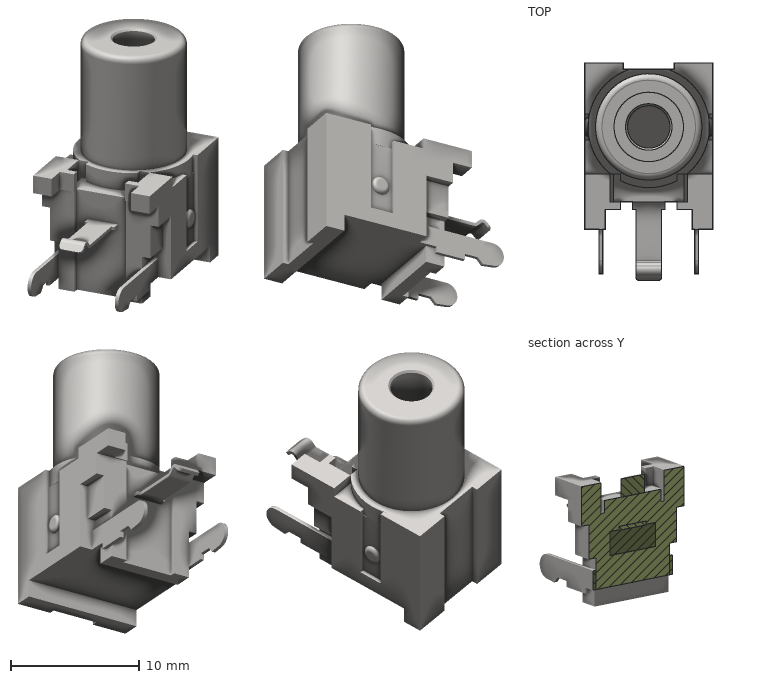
import cadquery as cq
import math


BLOCK = 10.0
HALF = BLOCK / 2
OVERALL_DEPTH = 17.01
FLOOR_Z = 1.4
SHELF_Z = 8.53
LEDGE_Z = 9.11
COLUMN_FRONT_Y = -6.32
PANEL_Y = -5.85
SHELF_Y = -3.69
CHANNEL_HALF = 2.2
REAR_NOTCH_HALF = 1.99
REAR_NOTCH_Y = 4.5
REAR_FOOT_Y = 3.4
FRONT_FOOT_Y = -4.7

ARM_FRONT_Y = -8.0
ARM_GAP_HALF = 3.4
LIP_FRONT_Y = -6.45
POCKET_HALF = 3.05
PAD_HALF = 2.77
GROOVE_DEPTH = 1.0

RECESS_Y = -3.96
UPPER_RECESS_X = 4.3
UPPER_RECESS_TOP = 6.77
COLUMN_X = 3.59
STEP_Z = 3.98

SLOT_HALF = 1.01
SLOT_FLOOR_X = 4.7
SLOT_BOTTOM_Z = 2.67
BUMP_RADIUS = 0.76
BUMP_ROUND = 0.35
BUMP_Z = 4.98

BARREL_TOP = 19.51
BARREL_RADIUS = 4.15
BARREL_ROUND = 0.5
FLANGE_RADIUS = 4.75

CORE_RADIUS = 2.71
SOCKET_RADIUS = 1.65
SOCKET_CHAMFER = 0.15

CONTACT_Z = 5.87
CONTACT_THICKNESS = 0.27
CONTACT_BASE_HALF = 1.29
CONTACT_HALF = 1.01
CONTACT_TOP = CONTACT_Z + CONTACT_THICKNESS
CROWN_Y = -11.22
BEND_RADIUS = 0.5
CROWN_TOP = 6.63
TIP_Y = HALF - OVERALL_DEPTH
TIP_ROUND = 0.35

LEG_THICKNESS = 0.31
LEG_TOP = 3.0
LEG_FRONT_Y = -11.47
LEG_END_RADIUS = 1.0
LEG_TAB_Z = 0.92
LEG_TAB_REAR_Y = -5.48
LEG_HOOK_REAR_Y = -9.15
LEG_HOOK_FRONT_Y = -9.6


def box(x0, x1, y0, y1, z0, z1):
    """Box given by its limits along each axis."""
    return cq.Workplane("XY").box(x1 - x0, y1 - y0, z1 - z0, centered=False).translate((x0, y0, z0))


def centred_box(half_x, y0, y1, z0, z1):
    """Box that is symmetric about the YZ plane."""
    return box(-half_x, half_x, y0, y1, z0, z1)


def both_sides(shape):
    """The shape together with its mirror image across the YZ plane."""
    return shape.union(shape.mirror("YZ"))


def cylinder(radius, z0, z1):
    return cq.Workplane("XY").workplane(offset=z0).circle(radius).extrude(z1 - z0)


def side_profile(points, half_width):
    """Closed YZ outline extruded symmetrically along X."""
    return cq.Workplane("YZ").polyline(points).close().extrude(half_width, both=True)


def make_flange():
    """Round flange, flat at the back, with a narrow nose at the front."""
    disc = cylinder(FLANGE_RADIUS, SHELF_Z, BLOCK)
    body = centred_box(HALF, SHELF_Y, REAR_NOTCH_Y, SHELF_Z, BLOCK)
    nose = centred_box(CHANNEL_HALF, PANEL_Y, SHELF_Y, SHELF_Z, BLOCK)
    return disc.intersect(body.union(nose))


def make_barrel():
    tube = cylinder(BARREL_RADIUS, SHELF_Z, BARREL_TOP).faces(">Z").edges().fillet(BARREL_ROUND)
    return tube.union(make_flange()).cut(cylinder(CORE_RADIUS, SHELF_Z, BARREL_TOP))


def make_insulator():
    """Core inside the barrel with a tail that reaches the front panel under the contact."""
    core = cylinder(CORE_RADIUS, STEP_Z, BARREL_TOP)
    socket = cylinder(SOCKET_RADIUS, SHELF_Z, BARREL_TOP)
    tail = centred_box(CHANNEL_HALF, PANEL_Y, 0, STEP_Z, CONTACT_Z)
    bored = core.cut(socket)
    socket_rim = bored.faces(">Z").edges(cq.selectors.RadiusNthSelector(0))
    return socket_rim.chamfer(SOCKET_CHAMFER).union(tail)


def make_contact():
    """Flat strip with a wide base, a bent crown and a rounded drooping tip."""
    base = centred_box(CONTACT_BASE_HALF, LIP_FRONT_Y, -CORE_RADIUS, CONTACT_Z, CONTACT_TOP)

    inner_radius = BEND_RADIUS - CONTACT_THICKNESS
    bend_angle = math.pi / 4
    diagonal = math.sin(bend_angle)
    outer = BEND_RADIUS * diagonal
    inner = inner_radius * diagonal
    crown_z = CROWN_TOP - BEND_RADIUS
    bend_z = CONTACT_TOP + inner_radius
    bend_y = CROWN_Y + outer + inner + (crown_z + outer) - (bend_z - inner)
    tip_z = crown_z + outer - (CROWN_Y - outer - TIP_Y)
    tip_step = CONTACT_THICKNESS * diagonal
    half_turn_y = math.sin(bend_angle / 2)
    half_turn_z = math.cos(bend_angle / 2)

    strip = (
        cq.Workplane("YZ")
        .moveTo(LIP_FRONT_Y, CONTACT_TOP)
        .lineTo(bend_y, CONTACT_TOP)
        .threePointArc(
            (bend_y - inner_radius * half_turn_y, bend_z - inner_radius * half_turn_z),
            (bend_y - inner, bend_z - inner),
        )
        .lineTo(CROWN_Y + outer, crown_z + outer)
        .threePointArc((CROWN_Y, CROWN_TOP), (CROWN_Y - outer, crown_z + outer))
        .lineTo(TIP_Y, tip_z)
        .lineTo(TIP_Y + tip_step, tip_z - tip_step)
        .lineTo(CROWN_Y - inner, crown_z + inner)
        .threePointArc((CROWN_Y, crown_z + inner_radius), (CROWN_Y + inner, crown_z + inner))
        .lineTo(bend_y - outer, bend_z - outer)
        .threePointArc(
            (bend_y - BEND_RADIUS * half_turn_y, bend_z - BEND_RADIUS * half_turn_z),
            (bend_y, CONTACT_Z),
        )
        .lineTo(LIP_FRONT_Y, CONTACT_Z)
        .close()
        .extrude(CONTACT_HALF, both=True)
    )
    strip = strip.faces("<Y").edges("not |X").fillet(TIP_ROUND)
    return base.union(strip)


def make_leg(side):
    """Ground leg lying against the outer face of one column; side is -1 or 1."""
    end_y = LEG_FRONT_Y + LEG_END_RADIUS
    end_z = LEG_TOP - LEG_END_RADIUS
    leg = (
        cq.Workplane("YZ")
        .moveTo(RECESS_Y, LEG_TOP)
        .lineTo(end_y, LEG_TOP)
        .threePointArc((LEG_FRONT_Y, end_z), (end_y, end_z - LEG_END_RADIUS))
        .lineTo(LEG_HOOK_FRONT_Y, LEG_TAB_Z)
        .lineTo(LEG_HOOK_REAR_Y, FLOOR_Z)
        .lineTo(ARM_FRONT_Y, FLOOR_Z)
        .lineTo(ARM_FRONT_Y, LEG_TAB_Z)
        .lineTo(LEG_TAB_REAR_Y, LEG_TAB_Z)
        .lineTo(LEG_TAB_REAR_Y, FLOOR_Z)
        .lineTo(RECESS_Y, FLOOR_Z)
        .close()
        .extrude(LEG_THICKNESS)
        .translate((COLUMN_X, 0, 0))
    )
    return leg if side > 0 else leg.mirror("YZ")


def housing_block():
    """Side outline of the housing: feet below, arms overhanging at the front top."""
    outline = [
        (HALF, 0),
        (HALF, BLOCK),
        (ARM_FRONT_Y, BLOCK),
        (ARM_FRONT_Y, SHELF_Z),
        (COLUMN_FRONT_Y, SHELF_Z),
        (COLUMN_FRONT_Y, 0),
        (FRONT_FOOT_Y, 0),
        (FRONT_FOOT_Y, FLOOR_Z),
        (REAR_FOOT_Y, FLOOR_Z),
        (REAR_FOOT_Y, 0),
    ]
    return side_profile(outline, HALF)


def front_openings():
    """Gap between the arms, pocket over the shelf, shelf grooves and channel between the columns."""
    arm_gap = centred_box(ARM_GAP_HALF, ARM_FRONT_Y, LIP_FRONT_Y, SHELF_Z, BLOCK)
    channel = centred_box(CHANNEL_HALF, ARM_FRONT_Y, PANEL_Y, 0, BLOCK)
    pocket = centred_box(POCKET_HALF, PANEL_Y, SHELF_Y, SHELF_Z, BLOCK)
    groove = box(PAD_HALF, POCKET_HALF, PANEL_Y, SHELF_Y, SHELF_Z - GROOVE_DEPTH, SHELF_Z)
    return arm_gap.union(channel).union(pocket).union(both_sides(groove))


def corner_recesses():
    """Two-step recess at each front corner that leaves room for the ground legs."""
    upper = box(UPPER_RECESS_X, HALF, COLUMN_FRONT_Y, RECESS_Y, STEP_Z, UPPER_RECESS_TOP)
    lower = box(COLUMN_X, HALF, COLUMN_FRONT_Y, RECESS_Y, 0, STEP_Z)
    return both_sides(upper.union(lower))


def side_slots():
    """Vertical slot in each side, open to the flange above, and the lowered wall top in front of it."""
    slot = box(SLOT_FLOOR_X, HALF, -SLOT_HALF, SLOT_HALF, SLOT_BOTTOM_Z, BLOCK)
    ledge = box(POCKET_HALF, HALF, SHELF_Y, -SLOT_HALF, LEDGE_Z, BLOCK)
    flange_clearance = box(POCKET_HALF, HALF, -SLOT_HALF, SLOT_HALF, SHELF_Z, BLOCK)
    return both_sides(slot.union(ledge).union(flange_clearance))


def side_bumps():
    """Rounded bump in each slot, level with the outer side of the housing."""
    length = 2 * BUMP_ROUND
    bump = cq.Workplane("YZ").circle(BUMP_RADIUS).extrude(length)
    bump = bump.faces(">X").edges().fillet(BUMP_ROUND)
    return both_sides(bump.translate((HALF - length, 0, BUMP_Z)))


def make_housing(insulator, contact):
    rear_notch = centred_box(REAR_NOTCH_HALF, REAR_NOTCH_Y, HALF, 0, BLOCK)
    housing = housing_block().cut(rear_notch)
    for opening in (front_openings(), corner_recesses(), side_slots()):
        housing = housing.cut(opening)
    housing = housing.union(side_bumps())
    for inserted in (make_flange(), insulator, contact):
        housing = housing.cut(inserted)
    return housing


barrel = make_barrel()
insulator = make_insulator()
contact = make_contact()
housing = make_housing(insulator, contact)
legs = [make_leg(side) for side in (-1, 1)]

result = cq.Compound.makeCompound([
    housing.solids().val(),
    barrel.solids().val(),
    insulator.solids().val(),
    contact.solids().val(),
    *[leg.solids().val() for leg in legs],
])